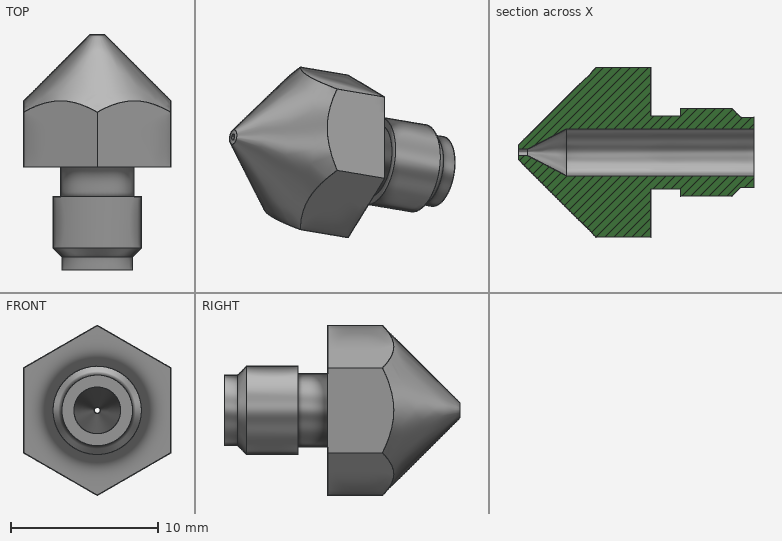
import cadquery as cq
import math


across_flats = 10.0
across_corners = across_flats / math.cos(math.radians(30))
head_length = 9.0
tip_diameter = 1.0
tip_half_angle = 45.0
envelope_clearance = 1.0

neck_diameter = 5.0
neck_length = 2.0
thread_diameter = 6.0
thread_length = 4.1
pilot_diameter = 4.8
pilot_length = 0.9
stem_length = neck_length + thread_length + pilot_length

bore_diameter = 3.17
orifice_diameter = 0.4
orifice_length = 0.6
bore_cone_half_angle = 27.5


def cone_length(large_diameter, small_diameter, half_angle):
    """Axial length of a cone between two diameters."""
    return (large_diameter - small_diameter) / 2 / math.tan(math.radians(half_angle))


def revolve_about_y(profile):
    """Revolve an (X, Y) half profile fully about the Y axis."""
    return cq.Workplane("XY").polyline(profile).close().revolve(360, (0, 0, 0), (0, 1, 0))


def make_head():
    """Hexagonal prism with corners on +Z and -Z, turned to a cone at the tip."""
    prism = (
        cq.Workplane("XZ")
        .polygon(6, across_corners)
        .extrude(-head_length)
        .rotate((0, 0, 0), (0, 1, 0), 90)
    )
    envelope_diameter = across_corners + 2 * envelope_clearance
    cone_start = head_length - cone_length(envelope_diameter, tip_diameter, tip_half_angle)
    envelope = revolve_about_y([
        (0, 0),
        (envelope_diameter / 2, 0),
        (envelope_diameter / 2, cone_start),
        (tip_diameter / 2, head_length),
        (0, head_length),
    ])
    return prism.intersect(envelope)


def make_stem():
    """Neck, plain threaded section with a 45 degree lead-in, and pilot."""
    thread_start = -neck_length
    thread_end = thread_start - thread_length
    lead_in = (thread_diameter - pilot_diameter) / 2
    return revolve_about_y([
        (0, 0),
        (neck_diameter / 2, 0),
        (neck_diameter / 2, thread_start),
        (thread_diameter / 2, thread_start),
        (thread_diameter / 2, thread_end + lead_in),
        (pilot_diameter / 2, thread_end),
        (pilot_diameter / 2, -stem_length),
        (0, -stem_length),
    ])


def make_bore():
    """Filament bore that tapers to the orifice and opens through the tip."""
    orifice_start = head_length - orifice_length
    taper_start = orifice_start - cone_length(bore_diameter, orifice_diameter, bore_cone_half_angle)
    return revolve_about_y([
        (0, -stem_length),
        (bore_diameter / 2, -stem_length),
        (bore_diameter / 2, taper_start),
        (orifice_diameter / 2, orifice_start),
        (orifice_diameter / 2, head_length),
        (0, head_length),
    ])


result = make_head().union(make_stem()).cut(make_bore())